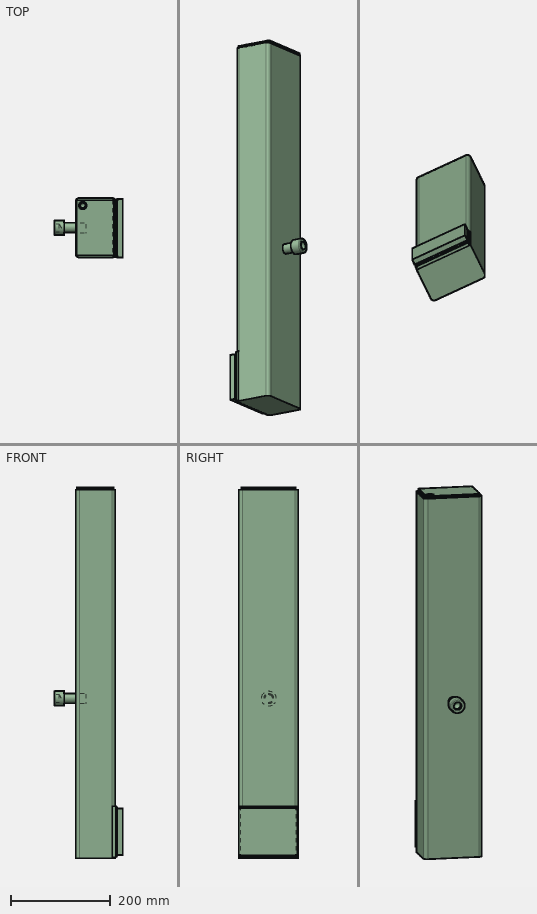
import cadquery as cq

total_length_x = 138.0
total_height = 745.0

housing_depth = 80.0
housing_width = 120.0
housing_left = 43.0
corner_radius = 7.5
housing_right = housing_left + housing_depth

lid_depth = 74.5
lid_width = 110.0
lid_thickness = 3.0
gasket_thickness = 2.0
lid_left = housing_left + 2.0
lid_right = lid_left + lid_depth
lid_bottom = total_height - lid_thickness
housing_height = lid_bottom - gasket_thickness

plug_diameter = 16.0
plug_socket_diameter = 10.5
plug_socket_depth = 1.5
plug_socket_tip_depth = 3.0
plug_x = housing_left + 14.0
plug_y = 45.0

screw_z = 321.0
head_diameter = 30.0
head_length = 20.0
head_rounding = 2.0
shank_diameter = 20.0
shank_end = housing_left + 20.0
socket_diameter = 16.0
socket_depth = 10.0
socket_tip_depth = 4.5

bracket_left = housing_right - 7.0
bracket_right = housing_right + 4.0
bracket_bottom = 2.0
bracket_top = 105.0
bracket_width = 117.0
bracket_chamfer = 3.0
pad_width = 118.0
pad_bottom = 7.0
pad_top = 100.5
pad_y = -(housing_width - pad_width) / 2


def block(x_min, x_max, width, z_min, z_max, y_mid=0.0):
    """Box between two X and two Z planes, centred on y_mid."""
    size = (x_max - x_min, width, z_max - z_min)
    corner = (x_min, y_mid - width / 2, z_min)
    return cq.Workplane("XY").box(*size, centered=False).translate(corner)


def cylinder_z(diameter, z_min, z_max):
    """Upright cylinder on the plug axis."""
    base = cq.Workplane("XY", origin=(plug_x, plug_y, z_min))
    return base.circle(diameter / 2).extrude(z_max - z_min)


def cylinder_x(diameter, x_min, x_max):
    """Cylinder along X on the screw axis."""
    base = cq.Workplane("YZ", origin=(x_min, 0, screw_z))
    return base.circle(diameter / 2).extrude(x_max - x_min)


def make_socket(diameter, depth, tip_depth):
    """Round socket with a conical end, opening at the origin and running along +Z."""
    radius = diameter / 2
    profile = [(0, 0), (radius, 0), (radius, depth), (0, depth + tip_depth)]
    return cq.Workplane("XZ").polyline(profile).close().revolve(360, (0, 0), (0, 1))


def make_housing():
    body = block(housing_left, housing_right, housing_width, 0, housing_height)
    body = body.edges("|Z").fillet(corner_radius)
    notch = block(bracket_left, total_length_x, housing_width, bracket_bottom, bracket_top)
    return body.cut(notch).cut(cylinder_x(shank_diameter, housing_left, shank_end))


def make_lid_layer(z_min, z_max):
    """Flat plate of the lid outline with the plug hole through it."""
    plate = block(lid_left, lid_right, lid_width, z_min, z_max)
    return plate.cut(cylinder_z(plug_diameter, z_min, z_max))


def make_plug():
    body = cylinder_z(plug_diameter, housing_height, total_height)
    socket = make_socket(plug_socket_diameter, plug_socket_depth, plug_socket_tip_depth)
    socket = socket.rotate((0, 0, 0), (1, 0, 0), 180).translate((plug_x, plug_y, total_height))
    return body.cut(socket)


def make_screw():
    head = cylinder_x(head_diameter, 0, head_length).faces("<X").edges().fillet(head_rounding)
    shank = cylinder_x(shank_diameter, head_length, shank_end)
    socket = make_socket(socket_diameter, socket_depth, socket_tip_depth)
    socket = socket.rotate((0, 0, 0), (0, 1, 0), 90).translate((0, 0, screw_z))
    return head.union(shank).cut(socket)


def make_bracket():
    body = block(bracket_left, bracket_right, bracket_width, bracket_bottom, bracket_top, pad_y)
    return body.faces(">X").chamfer(bracket_chamfer)


def make_pad():
    return block(bracket_right, total_length_x, pad_width, pad_bottom, pad_top, pad_y)


housing = make_housing()
gasket = make_lid_layer(housing_height, lid_bottom)
lid = make_lid_layer(lid_bottom, total_height)
plug = make_plug()
screw = make_screw()
bracket = make_bracket()
pad = make_pad()

result = cq.Compound.makeCompound(
    [body.val() for body in (housing, gasket, lid, plug, screw, bracket, pad)]
)